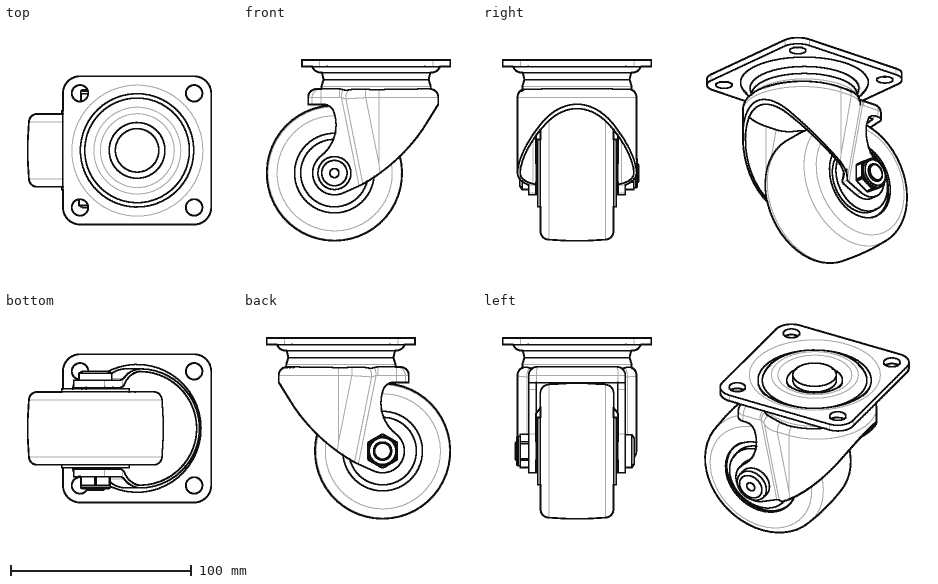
import cadquery as cq
import math

OVERALL_HEIGHT = 100.0

PLATE_SIDE = 82.0
PLATE_CORNER_R = 9.6
PLATE_THICKNESS = 3.75
HOLE_SPACING = 63.0
HOLE_D = 9.0
PRESS_DEPTH = 3.7
VALLEY_EDGE_R = 36.2
VALLEY_FLOOR_R = 31.3
BEAD_FOOT_R = 28.9
BEAD_TOP_R = 24.0
POCKET_EDGE_R = 20.4
POCKET_FLOOR_R = 15.4
RIVET_R = 12.0
DISH_R = 35.3
DISH_FLOOR_R = 30.5

NECK_TOP_R = 30.0
NECK_WAIST_R = 29.1
NECK_FOOT_R = 30.2
DISH_BOTTOM_Z = OVERALL_HEIGHT - 7.1
NECK_WAIST_Z = OVERALL_HEIGHT - 10.9
NECK_FOOT_Z = OVERALL_HEIGHT - 14.5

WHEEL_R = 37.5
WHEEL_WIDTH = 40.4
AXLE_X = -23.0
AXLE_Z = WHEEL_R
TREAD_CROWN = 0.7
TREAD_CORNER_R = 4.5
SIDE_FACE_R = 31.8
RECESS_R = 22.0
RECESS_DEPTH = 1.5
HUB_R = 18.65
HUB_HALF_WIDTH = 21.75
BUSH_R = 5.3

FORK_THICKNESS = 4.15
BODY_THICKNESS = 1.5
FORK_TOP_Z = OVERALL_HEIGHT - 16.0
FORK_TOP_FILLET = 4.7
LIP_BOTTOM_Z = OVERALL_HEIGHT - 24.7
LIP_FRONT_X = -37.6
LIP_SAG = 3.0
LIP_CORNER_R = 5.0
LEG_HALF_WIDTH = 26.65
BODY_HALF_WIDTH = 32.9
BODY_BACK_X = 34.4
BODY_CENTRE_X = BODY_BACK_X - BODY_HALF_WIDTH
EYE_R = 12.0

STEP_LEAN = 0.2
STEP_REF_Z = OVERALL_HEIGHT - 21.0
STEP_FOOT_X = -19.2
STEP_CREST_X = -5.8
STEP_FOOT_R = 3.0

WHEEL_CUT_X = -43.7
WHEEL_CUT_Z = OVERALL_HEIGHT - 36.0
WHEEL_CUT_FILLET = 5.7
LOWER_EDGE_SLOPE = math.radians(24)
LOWER_EDGE_LENGTH = 11.0
BACK_CURVE_MID = (13.3, OVERALL_HEIGHT - 53.1)
BACK_CURVE_END = (26.0, OVERALL_HEIGHT - 38.0)
BACK_EDGE_Z = OVERALL_HEIGHT - 24.5

BOLT_R = 5.0
BOLT_END_CHAMFER = 0.55
BOLT_END_Y = 34.1
BOLT_HEAD_R = 9.1
BOLT_HEAD_HEIGHT = 5.0
BOLT_HEAD_CHAMFER = (2.1, 1.3)
CENTRE_DRILL_R = 2.5
CENTRE_DRILL_DEPTH = 1.5
NUT_FLATS = 16.4
NUT_CORNER_R = 9.2
NUT_HEIGHT = 4.7
COLLAR_HEIGHT = 2.0
COLLAR_CHAMFER = 0.8

CLEAR = 50.0


def tangent_arc_mid(flat_r, flat_z, end_r, end_z):
    """Middle point of an arc that leaves (flat_r, flat_z) horizontally and ends at (end_r, end_z)."""
    run = end_r - flat_r
    rise = end_z - flat_z
    radius = (run ** 2 + rise ** 2) / (2 * abs(rise))
    half_angle = math.asin(abs(run) / radius) / 2
    mid_r = flat_r + math.copysign(radius * math.sin(half_angle), run)
    mid_z = flat_z + math.copysign(radius * (1 - math.cos(half_angle)), rise)
    return mid_r, mid_z


def axle_cylinder(radius, start_y, end_y):
    """Cylinder on the axle line between two Y positions."""
    return (
        cq.Workplane("XZ", origin=(AXLE_X, start_y, AXLE_Z))
        .circle(radius)
        .extrude(start_y - end_y)
    )


def axle_profile():
    """Sketch plane for turned parts: axial position along Y, radius measured down from the axle."""
    return cq.Workplane("YZ", origin=(AXLE_X, 0, AXLE_Z))


def make_plate():
    top = OVERALL_HEIGHT
    floor = top - PRESS_DEPTH
    underside = top - PLATE_THICKNESS
    half_pitch = HOLE_SPACING / 2

    sheet = (
        cq.Workplane("XY", origin=(0, 0, underside))
        .rect(PLATE_SIDE, PLATE_SIDE)
        .extrude(PLATE_THICKNESS)
        .edges("|Z")
        .fillet(PLATE_CORNER_R)
        .faces(">Z")
        .workplane()
        .pushPoints([(x, y) for x in (-half_pitch, half_pitch) for y in (-half_pitch, half_pitch)])
        .hole(HOLE_D)
    )
    opening = cq.Workplane("XY", origin=(0, 0, underside)).circle(VALLEY_EDGE_R).extrude(PLATE_THICKNESS)
    pressing = (
        cq.Workplane("XZ")
        .moveTo(0, NECK_WAIST_Z)
        .lineTo(NECK_WAIST_R, NECK_WAIST_Z)
        .lineTo(NECK_TOP_R, DISH_BOTTOM_Z)
        .lineTo(DISH_FLOOR_R, DISH_BOTTOM_Z)
        .threePointArc(tangent_arc_mid(DISH_FLOOR_R, DISH_BOTTOM_Z, DISH_R, underside), (DISH_R, underside))
        .lineTo(VALLEY_EDGE_R, underside)
        .lineTo(VALLEY_EDGE_R, top)
        .threePointArc(tangent_arc_mid(VALLEY_EDGE_R, top, VALLEY_FLOOR_R, floor), (VALLEY_FLOOR_R, floor))
        .lineTo(BEAD_FOOT_R, floor)
        .threePointArc(tangent_arc_mid(BEAD_TOP_R, top, BEAD_FOOT_R, floor), (BEAD_TOP_R, top))
        .lineTo(POCKET_EDGE_R, top)
        .threePointArc(tangent_arc_mid(POCKET_EDGE_R, top, POCKET_FLOOR_R, floor), (POCKET_FLOOR_R, floor))
        .lineTo(RIVET_R, floor)
        .lineTo(RIVET_R, top)
        .lineTo(0, top)
        .close()
        .revolve(360, (0, 0), (0, 1))
    )
    return sheet.cut(opening).union(pressing)


def fork_plan(leg_inset, body_inset):
    """Plan outline of the fork, wide enough everywhere for the leaning step to trim it."""
    front = LIP_FRONT_X + leg_inset
    leg = LEG_HALF_WIDTH - leg_inset
    body = BODY_HALF_WIDTH - body_inset
    back = BODY_BACK_X - body_inset
    corner_x = front + LIP_SAG
    widening_x = STEP_FOOT_X - STEP_FOOT_R
    return (
        cq.Workplane("XY")
        .moveTo(corner_x, -leg)
        .lineTo(widening_x, -leg)
        .lineTo(widening_x, -body)
        .lineTo(BODY_CENTRE_X, -body)
        .threePointArc((back, 0), (BODY_CENTRE_X, body))
        .lineTo(widening_x, body)
        .lineTo(widening_x, leg)
        .lineTo(corner_x, leg)
        .threePointArc((front, 0), (corner_x, -leg))
        .close()
    )


def step_points(leg, body, side):
    """Points of the step on one side, from leg to body: foot, mid, bend, mid, crest."""
    run = STEP_CREST_X - STEP_FOOT_X
    rise = body - leg
    crest_r = run ** 2 / (2 * rise) - STEP_FOOT_R + rise / 2
    bend_angle = math.asin(run / (STEP_FOOT_R + crest_r))
    foot_centre_y = leg + STEP_FOOT_R
    crest_centre_y = body - crest_r

    def on_foot(angle):
        x = STEP_FOOT_X + STEP_FOOT_R * math.sin(angle)
        y = foot_centre_y - STEP_FOOT_R * math.cos(angle)
        return x, side * y

    def on_crest(angle):
        x = STEP_CREST_X - crest_r * math.sin(angle)
        y = crest_centre_y + crest_r * math.cos(angle)
        return x, side * y

    return on_foot(0), on_foot(bend_angle / 2), on_foot(bend_angle), on_crest(bend_angle / 2), on_crest(0)


def leaning_step(leg, body):
    """Block with the step on both sides, swept down along the lean of the step."""
    foot, foot_mid, bend, crest_mid, crest = step_points(leg, body, -1)
    far_foot, far_foot_mid, far_bend, far_crest_mid, far_crest = step_points(leg, body, 1)
    top_shift = -STEP_LEAN * (OVERALL_HEIGHT - STEP_REF_Z)
    outline = (
        cq.Workplane("XY", origin=(top_shift, 0, OVERALL_HEIGHT))
        .moveTo(-CLEAR * 2, foot[1])
        .lineTo(*foot)
        .threePointArc(foot_mid, bend)
        .threePointArc(crest_mid, crest)
        .lineTo(CLEAR * 2, crest[1])
        .lineTo(CLEAR * 2, far_crest[1])
        .lineTo(*far_crest)
        .threePointArc(far_crest_mid, far_bend)
        .threePointArc(far_foot_mid, far_foot)
        .lineTo(-CLEAR * 2, far_foot[1])
        .close()
    )
    sweep = cq.Vector(STEP_LEAN * OVERALL_HEIGHT, 0, -OVERALL_HEIGHT)
    return cq.Workplane(cq.Solid.extrudeLinear(outline.wire().val(), [], sweep))


def fork_block(leg_inset, body_inset):
    """Solid form of the fork, with its legs, lip and top reduced by one inset and its body by another."""
    block = fork_plan(leg_inset, body_inset).extrude(FORK_TOP_Z - leg_inset)
    return block.intersect(leaning_step(LEG_HALF_WIDTH - leg_inset, BODY_HALF_WIDTH - body_inset))


def leg_block(inset):
    """Space between the outer faces of the legs below the lip, reduced by the inset on both sides."""
    length = STEP_FOOT_X - LIP_FRONT_X
    width = 2 * (LEG_HALF_WIDTH - inset)
    centre_x = LIP_FRONT_X + length / 2
    return cq.Workplane("XY", origin=(centre_x, 0, 0)).rect(length, width).extrude(LIP_BOTTOM_Z)


def fork_side():
    """Block with the side outline of the fork: front lip, wheel cut-out, axle eye and curved back."""
    to_cut = math.atan2(WHEEL_CUT_Z - AXLE_Z, WHEEL_CUT_X - AXLE_X)
    cut_r = math.hypot(WHEEL_CUT_X - AXLE_X, WHEEL_CUT_Z - AXLE_Z) - EYE_R

    fillet_z = LIP_BOTTOM_Z - WHEEL_CUT_FILLET
    fillet_angle = math.asin((fillet_z - WHEEL_CUT_Z) / (cut_r - WHEEL_CUT_FILLET))
    fillet_x = WHEEL_CUT_X + (cut_r - WHEEL_CUT_FILLET) * math.cos(fillet_angle)
    fillet_mid_angle = (math.pi / 2 + fillet_angle) / 2

    def on_circle(centre_x, centre_z, radius, angle):
        return centre_x + radius * math.cos(angle), centre_z + radius * math.sin(angle)

    fillet_mid = on_circle(fillet_x, fillet_z, WHEEL_CUT_FILLET, fillet_mid_angle)
    cut_start = on_circle(WHEEL_CUT_X, WHEEL_CUT_Z, cut_r, fillet_angle)
    cut_mid = on_circle(WHEEL_CUT_X, WHEEL_CUT_Z, cut_r, 0)
    eye_start = on_circle(AXLE_X, AXLE_Z, EYE_R, to_cut)
    eye_mid = on_circle(AXLE_X, AXLE_Z, EYE_R, math.pi)
    eye_end = on_circle(AXLE_X, AXLE_Z, EYE_R, LOWER_EDGE_SLOPE - math.pi / 2)
    edge_end = on_circle(*eye_end, LOWER_EDGE_LENGTH, LOWER_EDGE_SLOPE)

    return (
        cq.Workplane("XZ", origin=(0, CLEAR, 0))
        .moveTo(LIP_FRONT_X, FORK_TOP_Z)
        .lineTo(LIP_FRONT_X, LIP_BOTTOM_Z)
        .lineTo(fillet_x, LIP_BOTTOM_Z)
        .threePointArc(fillet_mid, cut_start)
        .threePointArc(cut_mid, eye_start)
        .threePointArc(eye_mid, eye_end)
        .lineTo(*edge_end)
        .threePointArc(BACK_CURVE_MID, BACK_CURVE_END)
        .lineTo(BODY_BACK_X, BACK_EDGE_Z)
        .lineTo(BODY_BACK_X, FORK_TOP_Z)
        .close()
        .extrude(2 * CLEAR)
    )


def make_fork():
    outside = (
        fork_block(0, 0)
        .edges("|Z")
        .edges("<X")
        .fillet(LIP_CORNER_R)
        .faces(">Z")
        .edges()
        .fillet(FORK_TOP_FILLET)
    )
    outside = outside.union(leg_block(0))
    inside = fork_block(FORK_THICKNESS, BODY_THICKNESS).union(leg_block(FORK_THICKNESS))
    shell = outside.cut(inside).intersect(fork_side())
    neck = (
        cq.Workplane("XZ")
        .moveTo(0, FORK_TOP_Z - FORK_THICKNESS / 2)
        .lineTo(NECK_FOOT_R, FORK_TOP_Z - FORK_THICKNESS / 2)
        .lineTo(NECK_FOOT_R, NECK_FOOT_Z)
        .lineTo(NECK_WAIST_R, NECK_WAIST_Z)
        .lineTo(0, NECK_WAIST_Z)
        .close()
        .revolve(360, (0, 0), (0, 1))
    )
    return shell.union(neck).cut(axle_cylinder(BOLT_R, -CLEAR, CLEAR))


def make_wheel():
    half_width = WHEEL_WIDTH / 2
    edge_y = half_width - TREAD_CORNER_R
    edge_r = WHEEL_R - TREAD_CROWN
    corner_bulge = math.sqrt(0.5)
    corner_r = SIDE_FACE_R + (edge_r - SIDE_FACE_R) * corner_bulge
    corner_y = edge_y + TREAD_CORNER_R * corner_bulge
    recess_y = half_width - RECESS_DEPTH
    bush_y = LEG_HALF_WIDTH - FORK_THICKNESS
    return (
        axle_profile()
        .moveTo(-bush_y, -BOLT_R)
        .lineTo(-bush_y, -BUSH_R)
        .lineTo(-HUB_HALF_WIDTH, -BUSH_R)
        .lineTo(-HUB_HALF_WIDTH, -HUB_R)
        .lineTo(-recess_y, -HUB_R)
        .lineTo(-recess_y, -RECESS_R)
        .lineTo(-half_width, -RECESS_R)
        .lineTo(-half_width, -SIDE_FACE_R)
        .threePointArc((-corner_y, -corner_r), (-edge_y, -edge_r))
        .threePointArc((0, -WHEEL_R), (edge_y, -edge_r))
        .threePointArc((corner_y, -corner_r), (half_width, -SIDE_FACE_R))
        .lineTo(half_width, -RECESS_R)
        .lineTo(recess_y, -RECESS_R)
        .lineTo(recess_y, -HUB_R)
        .lineTo(HUB_HALF_WIDTH, -HUB_R)
        .lineTo(HUB_HALF_WIDTH, -BUSH_R)
        .lineTo(bush_y, -BUSH_R)
        .lineTo(bush_y, -BOLT_R)
        .close()
        .revolve(360, (0, 0), (1, 0))
    )


def make_bolt():
    head_y = -LEG_HALF_WIDTH - BOLT_HEAD_HEIGHT
    rim_width, rim_height = BOLT_HEAD_CHAMFER
    return (
        axle_profile()
        .moveTo(head_y + CENTRE_DRILL_DEPTH, 0)
        .lineTo(head_y, -CENTRE_DRILL_R)
        .lineTo(head_y, -BOLT_HEAD_R + rim_width)
        .lineTo(head_y + rim_height, -BOLT_HEAD_R)
        .lineTo(-LEG_HALF_WIDTH, -BOLT_HEAD_R)
        .lineTo(-LEG_HALF_WIDTH, -BOLT_R)
        .lineTo(BOLT_END_Y - BOLT_END_CHAMFER, -BOLT_R)
        .lineTo(BOLT_END_Y, -BOLT_R + BOLT_END_CHAMFER)
        .lineTo(BOLT_END_Y, 0)
        .close()
        .revolve(360, (0, 0), (1, 0))
    )


def make_nut():
    hexagon_end_y = LEG_HALF_WIDTH + NUT_HEIGHT
    collar_end_y = hexagon_end_y + COLLAR_HEIGHT
    hexagon = (
        cq.Workplane("XZ", origin=(AXLE_X, LEG_HALF_WIDTH, AXLE_Z))
        .polygon(6, NUT_FLATS, circumscribed=True)
        .extrude(-NUT_HEIGHT)
        .intersect(axle_cylinder(NUT_CORNER_R, LEG_HALF_WIDTH, hexagon_end_y))
    )
    collar = axle_cylinder(NUT_FLATS / 2, hexagon_end_y, collar_end_y).faces(">Y").chamfer(COLLAR_CHAMFER)
    return hexagon.union(collar).cut(axle_cylinder(BOLT_R, -CLEAR, CLEAR))


plate = make_plate()
fork = make_fork()
wheel = make_wheel()
bolt = make_bolt()
nut = make_nut()

result = cq.Compound.makeCompound([plate.val(), fork.val(), wheel.val(), bolt.val(), nut.val()])